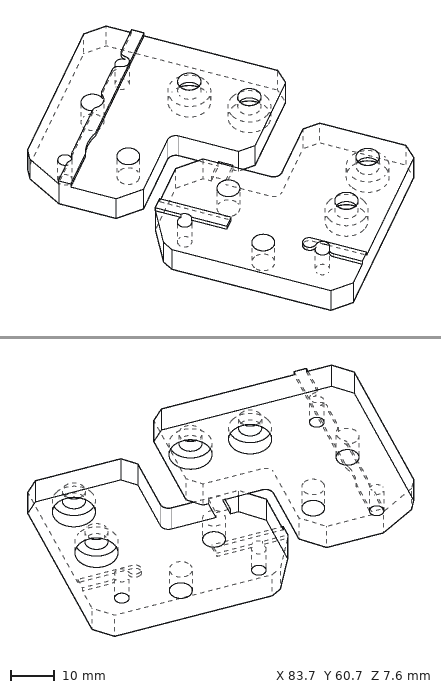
import cadquery as cq
import math

PAIR_LENGTH = 83.7
PAIR_WIDTH = 60.7

PLATE_THICKNESS = 6.6
SHORT_ARM_REACH = 48.4
LONG_ARM_REACH = 50.0
SHORT_ARM_WIDTH = 26.8
LONG_ARM_WIDTH = 29.0
OUTER_CORNER_CHAMFER = 4.0
SHORT_ARM_CHAMFER = 3.0
LONG_ARM_CHAMFER = 4.9
INNER_CORNER_RADIUS = 2.0

STEEP_FLAT_RUN = 1.5
FLAT_ANGLE = math.radians(30)
STEEP_FLAT_RISE = STEEP_FLAT_RUN / math.tan(FLAT_ANGLE)
BROKEN_CORNER_REACH = 10.3
BROKEN_CORNER_RISE = STEEP_FLAT_RISE + (BROKEN_CORNER_REACH - STEEP_FLAT_RUN) * math.tan(FLAT_ANGLE)

HOLE_ROW_V = 10.0
SHORT_ARM_SCREW_DIAMETER = 5.3
SHORT_ARM_SCREW_U = 27.6
SHORT_ARM_SCREW_SPACING = 14.5
SHORT_ARM_SCREWS = [
    (SHORT_ARM_SCREW_U, HOLE_ROW_V),
    (SHORT_ARM_SCREW_U + SHORT_ARM_SCREW_SPACING, HOLE_ROW_V),
]
HEAD_RECESS_DIAMETER = 9.8
HEAD_RECESS_DEPTH = 3.5
LONG_ARM_SCREW_DIAMETER = 5.2
EDGE_SCREW = (9.0, 23.5)
RELIEF_SCREW = (22.3, 36.6)
PIN_DIAMETER = 3.3
NEAR_PIN = (11.4, 10.05)
FAR_PIN = (9.1, 42.5)

RIDGE_HEIGHT = 1.0
FULL_HEIGHT = PLATE_THICKNESS + RIDGE_HEIGHT
RIDGE_WIDTH = 3.0
RIDGE_EDGE_U = 10.15
RIDGE_MIDDLE_U = RIDGE_EDGE_U + RIDGE_WIDTH / 2
RIDGE_CORNER_RADIUS = 1.5
RELIEF_RADIUS = 9.8
ROUND_END_V = 14.85
SQUARE_END_V = 32.7

BAR_WIDTH = 3.5
BAR_THICKNESS = 1.5
BAR_X = 42.35
BAR_OVERLAP = 1.0


def post(centre, diameter, height):
    """Upright cylinder on the base plane."""
    return cq.Workplane("XY").center(*centre).circle(diameter / 2).extrude(height)


def plate():
    """L-shaped corner plate without holes."""
    outline = [
        (OUTER_CORNER_CHAMFER, 0),
        (SHORT_ARM_REACH - SHORT_ARM_CHAMFER, 0),
        (SHORT_ARM_REACH, SHORT_ARM_CHAMFER),
        (SHORT_ARM_REACH, SHORT_ARM_WIDTH - SHORT_ARM_CHAMFER),
        (SHORT_ARM_REACH - SHORT_ARM_CHAMFER, SHORT_ARM_WIDTH),
        (LONG_ARM_WIDTH, SHORT_ARM_WIDTH),
        (LONG_ARM_WIDTH, LONG_ARM_REACH - LONG_ARM_CHAMFER),
        (LONG_ARM_WIDTH - LONG_ARM_CHAMFER, LONG_ARM_REACH),
        (BROKEN_CORNER_REACH, LONG_ARM_REACH),
        (STEEP_FLAT_RUN, LONG_ARM_REACH - BROKEN_CORNER_RISE + STEEP_FLAT_RISE),
        (0, LONG_ARM_REACH - BROKEN_CORNER_RISE),
        (0, OUTER_CORNER_CHAMFER),
    ]
    body = cq.Workplane("XY").polyline(outline).close().extrude(PLATE_THICKNESS)
    inner_corner = cq.selectors.NearestToPointSelector(
        (LONG_ARM_WIDTH, SHORT_ARM_WIDTH, PLATE_THICKNESS / 2)
    )
    return body.edges("|Z").edges(inner_corner).fillet(INNER_CORNER_RADIUS)


def ridge_strip(start_v, end_v):
    """Square-ended length of ridge on top of the plate."""
    return cq.Workplane("XY").box(
        RIDGE_WIDTH, end_v - start_v, RIDGE_HEIGHT, centered=(True, False, False)
    ).translate((RIDGE_MIDDLE_U, start_v, PLATE_THICKNESS))


def notch_ridge(ridge, centre, diameter):
    """Cut a hole through the edge of a ridge and round the two corners it leaves."""
    notched = ridge.cut(post(centre, diameter, FULL_HEIGHT))
    half_chord = math.sqrt((diameter / 2) ** 2 - (RIDGE_EDGE_U - centre[0]) ** 2)
    for side in (-1, 1):
        corner = (RIDGE_EDGE_U, centre[1] + side * half_chord, PLATE_THICKNESS + RIDGE_HEIGHT / 2)
        corner_edge = cq.selectors.NearestToPointSelector(corner)
        notched = notched.edges("|Z").edges(corner_edge).fillet(RIDGE_CORNER_RADIUS)
    return notched


def drill(body):
    """Drill the screw and pin holes, with screw head recesses under the short arm."""
    for centre in SHORT_ARM_SCREWS:
        body = body.cut(post(centre, SHORT_ARM_SCREW_DIAMETER, FULL_HEIGHT))
        body = body.cut(post(centre, HEAD_RECESS_DIAMETER, HEAD_RECESS_DEPTH))
    for centre in (EDGE_SCREW, RELIEF_SCREW):
        body = body.cut(post(centre, LONG_ARM_SCREW_DIAMETER, FULL_HEIGHT))
    for centre in (NEAR_PIN, FAR_PIN):
        body = body.cut(post(centre, PIN_DIAMETER, FULL_HEIGHT))
    return body


def full_ridge_plate():
    """Plate with one ridge along the whole long arm, relieved around a screw."""
    ridge = ridge_strip(0, LONG_ARM_REACH)
    ridge = ridge.cut(post(RELIEF_SCREW, 2 * RELIEF_RADIUS, FULL_HEIGHT))
    ridge = notch_ridge(ridge, NEAR_PIN, PIN_DIAMETER)
    ridge = notch_ridge(ridge, EDGE_SCREW, LONG_ARM_SCREW_DIAMETER)
    ridge = notch_ridge(ridge, FAR_PIN, PIN_DIAMETER)
    return drill(plate().union(ridge))


def split_ridge_plate():
    """Plate with a short round-ended ridge and a square-ended ridge."""
    end_centre = (RIDGE_MIDDLE_U, ROUND_END_V - RIDGE_WIDTH / 2)
    round_end = post(end_centre, RIDGE_WIDTH, RIDGE_HEIGHT).translate((0, 0, PLATE_THICKNESS))
    short_ridge = ridge_strip(0, end_centre[1]).union(round_end)
    short_ridge = notch_ridge(short_ridge, NEAR_PIN, PIN_DIAMETER)
    square_ridge = ridge_strip(SQUARE_END_V, LONG_ARM_REACH)
    return drill(plate().union(short_ridge).union(square_ridge))


def joining_bar():
    """Bar along Y that bridges the gap between the plates and runs a little way into both."""
    start_y = LONG_ARM_WIDTH - BAR_OVERLAP
    end_y = PAIR_WIDTH - SHORT_ARM_WIDTH + BAR_OVERLAP
    return cq.Workplane("XY").box(
        BAR_WIDTH, end_y - start_y, BAR_THICKNESS, centered=(True, False, False)
    ).translate((BAR_X, start_y, 0))


upper_plate = full_ridge_plate().mirror("XZ").translate((0, PAIR_WIDTH, 0))
lower_plate = split_ridge_plate().rotate((0, 0, 0), (0, 0, 1), 90).translate((PAIR_LENGTH, 0, 0))

result = upper_plate.union(lower_plate).union(joining_bar())